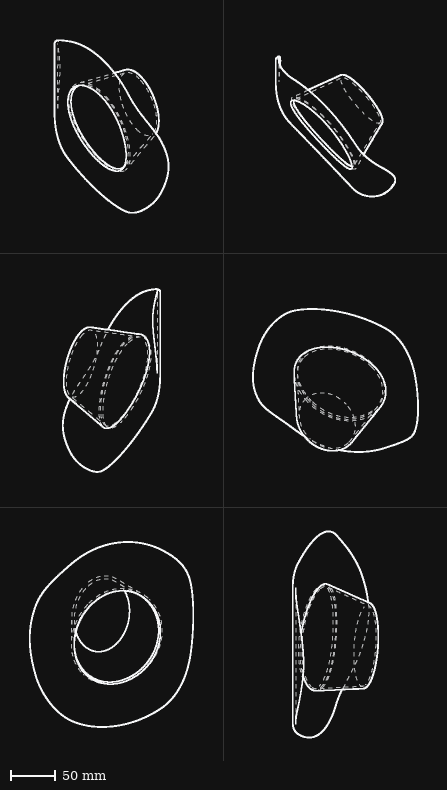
import cadquery as cq
import math

LENGTH = 236.5
WIDTH = 191.7
END_RADIUS = 93.2

BRIM_THICKNESS = 3.5
ARCH_RADIUS = 472.9
ARCH_HALF_WIDTH = 51.8
CURL_RADIUS = 46.0
CURL_SWEEP = math.radians(80)
BRIM_EDGE_FILLET = 1.2

HEIGHT = 63.1
FLOOR_THICKNESS = 2.8
CROWN_BASE = (54.5, 63.0)
CROWN_TOP = (34.8, 50.0)
CAVITY_BASE = (50.8, 60.5)
CAVITY_TOP = (32.6, 47.0)
BASE_CENTER_Z = -2.8
TOP_CENTER_Z = -5.5
CROWN_TOP_FILLET = 2.5

arch_angle = math.asin(ARCH_HALF_WIDTH / ARCH_RADIUS)
curl_center_x = (ARCH_RADIUS + CURL_RADIUS) * math.sin(arch_angle)
curl_center_y = CURL_RADIUS
arch_center_y = curl_center_y - (ARCH_RADIUS + CURL_RADIUS) * math.cos(arch_angle)


def arch_point(angle, offset):
    """Point on the arch, raised by offset from the underside."""
    radius = ARCH_RADIUS + offset
    return radius * math.sin(angle), arch_center_y + radius * math.cos(angle)


def curl_point(angle, offset, side):
    """Point on a curl; angle runs outward from straight down, side is -1 or 1."""
    radius = CURL_RADIUS - offset
    x = curl_center_x + radius * math.sin(angle)
    return side * x, curl_center_y - radius * math.cos(angle)


def trace_face(profile, offset, end):
    """Add one brim face, from the opposite curl's tip to the tip on side end (-1 or 1)."""
    middle = (CURL_SWEEP - arch_angle) / 2
    return (
        profile.threePointArc(curl_point(middle, offset, -end), arch_point(-end * arch_angle, offset))
        .threePointArc(arch_point(0, offset), arch_point(end * arch_angle, offset))
        .threePointArc(curl_point(middle, offset, end), curl_point(CURL_SWEEP, offset, end))
    )


def brim_sheet():
    """Curved sheet that the brim is trimmed from."""
    profile = cq.Workplane("XY").moveTo(*curl_point(CURL_SWEEP, 0, -1))
    profile = trace_face(profile, 0, 1)
    profile = profile.lineTo(*curl_point(CURL_SWEEP, BRIM_THICKNESS, 1))
    profile = trace_face(profile, BRIM_THICKNESS, -1).close()
    return profile.extrude(LENGTH, both=True)


def space_above_brim():
    """Everything above the brim's upper face, up to beyond the crown."""
    profile = cq.Workplane("XY").moveTo(*curl_point(CURL_SWEEP, BRIM_THICKNESS, -1))
    profile = trace_face(profile, BRIM_THICKNESS, 1)
    right_tip_x = curl_point(CURL_SWEEP, BRIM_THICKNESS, 1)[0]
    profile = profile.lineTo(right_tip_x, 2 * HEIGHT).lineTo(-right_tip_x, 2 * HEIGHT).close()
    return profile.extrude(LENGTH, both=True)


def brim_outline():
    """Upright block with the brim's oval outline."""
    half_width = WIDTH / 2
    end_center_z = LENGTH / 2 - END_RADIUS
    side_radius = (half_width**2 + end_center_z**2 - END_RADIUS**2) / (2 * (half_width - END_RADIUS))
    tangent_angle = math.asin(end_center_z / (side_radius - END_RADIUS))
    x = END_RADIUS * math.cos(tangent_angle)
    z = end_center_z + END_RADIUS * math.sin(tangent_angle)
    return (
        cq.Workplane("XZ")
        .moveTo(x, -z)
        .threePointArc((half_width, 0), (x, z))
        .threePointArc((0, LENGTH / 2), (-x, z))
        .threePointArc((-half_width, 0), (-x, -z))
        .threePointArc((0, -LENGTH / 2), (x, -z))
        .close()
        .extrude(2 * HEIGHT, both=True)
    )


def elliptic_taper(base, top, height):
    """Tapered elliptical block from Y = 0 up to height, leaning toward -Z."""
    return (
        cq.Workplane("XZ")
        .center(0, BASE_CENTER_Z)
        .ellipse(*base)
        .workplane(offset=-height)
        .center(0, TOP_CENTER_Z - BASE_CENTER_Z)
        .ellipse(*top)
        .loft(ruled=True)
    )


def make_brim(cavity):
    brim = brim_sheet().intersect(brim_outline())
    return brim.edges("not (|Y or |Z)").fillet(BRIM_EDGE_FILLET).cut(cavity)


def make_crown(cavity):
    crown = elliptic_taper(CROWN_BASE, CROWN_TOP, HEIGHT)
    crown = crown.faces(">Y").edges().fillet(CROWN_TOP_FILLET)
    return crown.intersect(space_above_brim()).cut(cavity)


cavity = elliptic_taper(CAVITY_BASE, CAVITY_TOP, HEIGHT - FLOOR_THICKNESS)
brim = make_brim(cavity)
crown = make_crown(cavity)
result = cq.Compound.makeCompound([brim.val(), crown.val()])